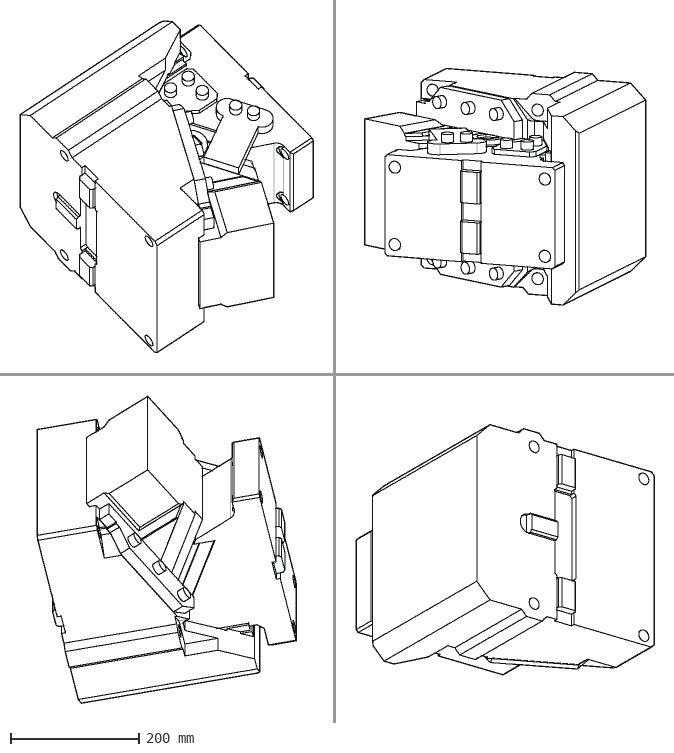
import cadquery as cq
import math

SLIDE_ANGLE = math.radians(25)
RAMP_ANGLE = math.radians(30)
RAMP_SLOPE = math.tan(RAMP_ANGLE)

BASE_LENGTH = 340.5
BASE_HEIGHT = 285.5
BASE_HALF_Z = 150.0
BASE_FRONT_CHAMFER = 25.5
BASE_REAR_CHAMFER = 5.5
BASE_TOP_CHAMFER = 4.8

RIB_RISE = 10.0
RIB_HEIGHT = 180.0
RIB_FOOT_WIDTH = 49.0
RIB_TOP_WIDTH = 30.0
UPPER_RIB_X = 105.0
LOWER_RIB_X = 110.5

MOUNT_HOLE_DIAMETER = 19.0
MOUNT_HOLE_X = (110.0, 320.0)
MOUNT_HOLE_Z = 134.3

VALLEY_TOP_X = 45.0
VALLEY_FLOOR_Y = 185.5
VALLEY_FLOOR_LEFT = 97.7
VALLEY_FLOOR_RIGHT = 113.2
WAY_START_X = 120.5
WALL_X = 66.0
WALL_STEP_X = 55.5
WALL_TOP_Y = 280.5
WALL_STEP_TOP_Y = 283.5
WALL_STRIP_HALF_Z = 85.5

WAY_X = 157.7
WAY_Y = 179.5
WAY_DEPTH = 10.0
CHANNEL_HALF_Z = 90.0

KEEPER_THICKNESS = 18.0
KEEPER_FRONT_CHAMFER = 29.8
KEEPER_REAR_CHAMFER_U = 138.2
KEEPER_REAR_CHAMFER = 26.5
KEEPER_STEP_U = 173.2
KEEPER_END_U = 192.5
KEEPER_HALF_Z = 149.0
KEEPER_BOLT_U = (4.5, 68.7, 133.5)
KEEPER_BOLT_Z = 127.0
BOLT_DIAMETER = 19.0
KEEPER_BOLT_HEIGHT = 12.0

POCKET_LEFT_X = 72.5
POCKET_RIGHT_X = 149.0
POCKET_DEPTH = 32.5
POCKET_FILLET = 12.7
NOTCH_X = 280.5
NOTCH_Y = 95.0
NOTCH_CHAMFER = 26.2
NOTCH_STEP_X = 318.0
REAR_STEP = 4.0

KEY_WIDTH = 32.5
KEY_LENGTH = 50.0
KEY_RISE = 8.0
KEY_CHAMFER = 3.5
KEYWAY_DEPTH = 6.5
BASE_KEYWAY_X = 170.0
BASE_KEY_Z = 105.3
RELIEF_WIDTH = 40.5
RELIEF_LENGTH = 149.5
RELIEF_DEPTH = 11.0
RELIEF_CHAMFER = 4.0
DRIVER_KEY_X = 155.5
DRIVER_KEY_Z = 40.0

DRIVER_TOP_Y = 346.0
DRIVER_HALF_Z = 80.5
FLANGE_LEFT_X = 15.0
FLANGE_RIGHT_X = 300.7
FLANGE_BOTTOM_Y = 302.0
FLANGE_CHAMFER = 4.0
FLANGE_HOLE_INSET = 16.5
FLANGE_HOLE_Z = 61.5
SPOTFACE_DIAMETER = 28.5
SPOTFACE_CLEARANCE = 16.0
STEM_LEFT_X = 60.0
STEM_CHAMFER = 9.0
STEM_RIGHT_TOP_X = 271.7
STEM_RIGHT_SLOPE = 2.1
STEM_FILLET = 14.3
STEM_TIP_X = 123.0
PAD_START_X = 155.0
STEP_END_X = 230.5

DRIVER_STEP_Y = 127.5
PAD_STEP_Y = 105.0
RAMP_Y = 94.0
SLIDE_STEP_Y = 76.0
SLIDE_SIDE_Y = 47.5

PAD_HALF_Z = 71.5
DRIVER_STEP_HALF_Z = 75.5
SLIDE_STEP_HALF_Z = 79.5
SLIDE_SIDE_HALF_Z = 86.0

HOOK_X = 203.0
HOOK_Y = 287.0
HOOK_WIDTH = 58.5
HOOK_END_RADIUS = 17.0
HOOK_REACH = 101.5
HOOK_THICKNESS = 17.0
HOOK_BOLT_SPACING = 29.8
HOOK_BOLT_HEIGHT = 13.0

RETAINER_LEFT_X = 75.5
RETAINER_RIGHT_X = 149.8
RETAINER_TOP_Y = 281.3
RETAINER_SHOULDER_LEFT_Y = 228.0
RETAINER_SHOULDER_RIGHT_Y = 239.0
RETAINER_CORNER = 7.5
RETAINER_THICKNESS = 8.0
RETAINER_BOLT_HEIGHT = 13.0
RETAINER_BOLTS = ((95.5, 260.5), (130.3, 260.5), (95.5, 225.2))

OVERALL_X = 397.2
SLIDE_TOP_V = 109.2
COLLAR_U = 104.0
HEAD_U = 123.0
HEAD_BOTTOM_V = 24.2
HEAD_HALF_Z = 100.5
HEAD_CHAMFER = 10.0
DISC_X = 191.0
DISC_Y = 187.5
DISC_RADIUS = 27.0
DISC_HEIGHT = 8.0
HEX_ACROSS_CORNERS = 36.0
HEX_DEPTH = 4.0

FAR = 596.0

WAY_U = (math.cos(SLIDE_ANGLE), -math.sin(SLIDE_ANGLE), 0)
WAY_V = (math.sin(SLIDE_ANGLE), math.cos(SLIDE_ANGLE), 0)
WAY_PROFILE = cq.Plane(origin=(WAY_X, WAY_Y, 0), xDir=WAY_U, normal=(0, 0, 1))
WAY_SURFACE = cq.Plane(origin=(WAY_X, WAY_Y, 0), xDir=WAY_U, normal=WAY_V)
SLIDE_END_U = (OVERALL_X - WAY_X - SLIDE_TOP_V * WAY_V[0]) / WAY_U[0]


def prism(points, half_z, plane="XY"):
    """Polygon extruded equally to both sides along Z."""
    return cq.Workplane(plane).polyline(points).close().extrude(half_z, both=True)


def block(x0, x1, y0, y1, z0, z1):
    """Box given by its limits."""
    return cq.Workplane("XY").box(x1 - x0, y1 - y0, z1 - z0, centered=False).translate((x0, y0, z0))


def holes_along_y(columns, row_z, diameter, start_y=0.0, length=FAR):
    """Round cutters along +Y, two in each X column."""
    places = [(x, z) for x in columns for z in (-row_z, row_z)]
    start = cq.Workplane("XZ", origin=(0, start_y, 0)).pushPoints(places)
    return start.circle(diameter / 2).extrude(-length)


def way_point(u, v):
    """X and Y of a point in the slideway frame."""
    return WAY_X + u * WAY_U[0] + v * WAY_V[0], WAY_Y + u * WAY_U[1] + v * WAY_V[1]


def way_y(x, v=0.0):
    """Height at X of the line parallel to the slideway at distance v."""
    return WAY_Y + v / math.cos(SLIDE_ANGLE) - (x - WAY_X) * math.tan(SLIDE_ANGLE)


def ramp_y(x, height):
    """Height at X of a line parallel to the ramp."""
    return height + x * RAMP_SLOPE


def ramp_side(height, half_z, towards):
    """Half space above (towards=FAR) or below (towards=-FAR) a line parallel to the ramp."""
    points = [
        (-FAR, ramp_y(-FAR, height)),
        (FAR, ramp_y(FAR, height)),
        (FAR, ramp_y(FAR, height) + towards),
        (-FAR, ramp_y(-FAR, height) + towards),
    ]
    return prism(points, half_z)


def rib(centre_x, side):
    """Trapezoidal rib on the upper (side=1) or lower (side=-1) face."""
    foot_z = side * BASE_HALF_Z
    top_z = side * (BASE_HALF_Z + RIB_RISE)
    points = [
        (centre_x - RIB_FOOT_WIDTH / 2, 0),
        (centre_x - RIB_FOOT_WIDTH / 2, foot_z),
        (centre_x - RIB_TOP_WIDTH / 2, top_z),
        (centre_x + RIB_TOP_WIDTH / 2, top_z),
        (centre_x + RIB_FOOT_WIDTH / 2, foot_z),
        (centre_x + RIB_FOOT_WIDTH / 2, 0),
    ]
    return cq.Workplane("XZ").polyline(points).close().extrude(-RIB_HEIGHT)


def base_block():
    """Block with chamfered long edges and ribs, before the slideway is cut."""
    body = block(0, BASE_LENGTH, 0, BASE_HEIGHT, -BASE_HALF_Z, BASE_HALF_Z)
    body = body.edges("|Y and <X").chamfer(BASE_FRONT_CHAMFER)
    body = body.edges("|Y and >X").chamfer(BASE_REAR_CHAMFER)
    body = body.faces("<X").edges(">Y").chamfer(BASE_TOP_CHAMFER)
    return body.union(rib(UPPER_RIB_X, 1)).union(rib(LOWER_RIB_X, -1))


def cut_valley(body):
    """Sloped valley, tilted top, and the deeper channel with its upright guide wall."""
    valley = [
        (VALLEY_TOP_X, BASE_HEIGHT),
        (VALLEY_FLOOR_LEFT, VALLEY_FLOOR_Y),
        (VALLEY_FLOOR_RIGHT, VALLEY_FLOOR_Y),
        (WAY_START_X, way_y(WAY_START_X)),
        (FAR, way_y(FAR)),
        (FAR, FAR),
        (VALLEY_TOP_X, FAR),
    ]
    wall = [
        (VALLEY_TOP_X, VALLEY_FLOOR_Y),
        (WALL_STEP_X, VALLEY_FLOOR_Y),
        (WALL_STEP_X, WALL_STEP_TOP_Y),
        (VALLEY_TOP_X, WALL_STEP_TOP_Y),
    ]
    strip = block(
        WALL_STEP_X, WALL_X, VALLEY_FLOOR_Y, WALL_TOP_Y, -WALL_STRIP_HALF_Z, WALL_STRIP_HALF_Z
    )
    floor_end_x = WAY_X + (way_y(WAY_X, -WAY_DEPTH) - VALLEY_FLOOR_Y) / math.tan(SLIDE_ANGLE)
    channel = [
        (WALL_X, VALLEY_FLOOR_Y),
        (floor_end_x, VALLEY_FLOOR_Y),
        (FAR, way_y(FAR, -WAY_DEPTH)),
        (FAR, FAR),
        (WALL_X, FAR),
    ]
    body = body.cut(prism(valley, FAR)).union(prism(wall, CHANNEL_HALF_Z)).union(strip)
    return body.cut(prism(channel, CHANNEL_HALF_Z))


def side_pockets():
    """Clearances in the upper face: a pocket at the valley and a notch at the rear."""
    floor_z = BASE_HALF_Z - POCKET_DEPTH
    pocket_points = [
        (POCKET_LEFT_X, floor_z),
        (POCKET_RIGHT_X - POCKET_DEPTH, floor_z),
        (POCKET_RIGHT_X, BASE_HALF_Z),
        (POCKET_RIGHT_X, FAR),
        (POCKET_LEFT_X, FAR),
    ]
    pocket = cq.Workplane("XZ", origin=(0, RIB_HEIGHT, 0)).polyline(pocket_points).close().extrude(-FAR)
    foot = (POCKET_RIGHT_X - POCKET_DEPTH, RIB_HEIGHT + FAR / 2, floor_z)
    foot_edge = cq.selectors.NearestToPointSelector(foot)
    pocket = pocket.edges("|Y").edges(foot_edge).fillet(POCKET_FILLET)
    ledge_z = BASE_HALF_Z - NOTCH_CHAMFER
    notch_points = [
        (NOTCH_X, BASE_HALF_Z),
        (NOTCH_X + NOTCH_CHAMFER, ledge_z),
        (NOTCH_STEP_X, ledge_z),
        (NOTCH_STEP_X, ledge_z - REAR_STEP),
        (FAR, ledge_z - REAR_STEP),
        (FAR, FAR),
        (NOTCH_X, FAR),
    ]
    notch = cq.Workplane("XZ", origin=(0, NOTCH_Y, 0)).polyline(notch_points).close().extrude(-FAR)
    return pocket.union(notch)


def keeper():
    """Plate along the +Z side of the slideway with its bolt heads."""
    ledge_z = KEEPER_HALF_Z - KEEPER_REAR_CHAMFER
    outline = [
        (-KEEPER_FRONT_CHAMFER, CHANNEL_HALF_Z),
        (-KEEPER_FRONT_CHAMFER, KEEPER_HALF_Z - KEEPER_FRONT_CHAMFER),
        (0, KEEPER_HALF_Z),
        (KEEPER_REAR_CHAMFER_U, KEEPER_HALF_Z),
        (KEEPER_REAR_CHAMFER_U + KEEPER_REAR_CHAMFER, ledge_z),
        (KEEPER_STEP_U, ledge_z),
        (KEEPER_STEP_U, ledge_z - REAR_STEP),
        (KEEPER_END_U, ledge_z - REAR_STEP),
        (KEEPER_END_U, CHANNEL_HALF_Z),
    ]
    plan = [(u, -z) for u, z in outline]
    plate = cq.Workplane(WAY_SURFACE).polyline(plan).close().extrude(KEEPER_THICKNESS)
    heads = cq.Workplane(WAY_SURFACE).pushPoints([(u, -KEEPER_BOLT_Z) for u in KEEPER_BOLT_U])
    heads = heads.circle(BOLT_DIAMETER / 2).extrude(KEEPER_THICKNESS + KEEPER_BOLT_HEIGHT)
    return plate.union(heads)


def key(outer_y, inner_y):
    """Key along Z, centred on X and Z, with its two outer edges chamfered."""
    low = min(outer_y, inner_y)
    high = max(outer_y, inner_y)
    blank = block(-KEY_WIDTH / 2, KEY_WIDTH / 2, low, high, -KEY_LENGTH / 2, KEY_LENGTH / 2)
    outer_face = "<Y" if outer_y < inner_y else ">Y"
    return blank.faces(outer_face).edges("|Z").chamfer(KEY_CHAMFER)


def cut_base_keyways(body):
    """Cross keyway, its central relief, and the round-ended keyway towards -X."""
    left_x = BASE_KEYWAY_X - KEY_WIDTH / 2
    body = body.cut(block(left_x, left_x + KEY_WIDTH, 0, KEYWAY_DEPTH, -FAR, FAR))
    relief = cq.Workplane("XY").box(RELIEF_WIDTH, 2 * RELIEF_DEPTH, RELIEF_LENGTH)
    relief = relief.edges("|Y").chamfer(RELIEF_CHAMFER).translate((BASE_KEYWAY_X, 0, 0))
    relief_x = BASE_KEYWAY_X - RELIEF_WIDTH / 2
    end_x = relief_x - KEY_LENGTH
    slot = block(end_x, relief_x, 0, KEYWAY_DEPTH, -KEY_WIDTH / 2, KEY_WIDTH / 2)
    round_end = cq.Workplane("XZ").center(end_x, 0).circle(KEY_WIDTH / 2).extrude(-KEYWAY_DEPTH)
    return body.cut(relief).cut(slot).cut(round_end)


def base_keys():
    """Two keys along Z and one along X, standing proud of the -Y face."""
    blank = key(-KEY_RISE, KEYWAY_DEPTH)
    middle_x = BASE_KEYWAY_X - RELIEF_WIDTH / 2 - KEY_LENGTH / 2
    keys = blank.rotate((0, 0, 0), (0, 1, 0), 90).translate((middle_x, 0, 0))
    for z in (-BASE_KEY_Z, BASE_KEY_Z):
        keys = keys.union(blank.translate((BASE_KEYWAY_X, 0, z)))
    return keys


def make_base():
    body = cut_valley(base_block())
    pockets = side_pockets()
    body = body.cut(pockets).cut(pockets.mirror("XY"))
    upper_keeper = keeper()
    body = body.union(upper_keeper).union(upper_keeper.mirror("XY"))
    body = cut_base_keyways(body).union(base_keys())
    return body.cut(holes_along_y(MOUNT_HOLE_X, MOUNT_HOLE_Z, MOUNT_HOLE_DIAMETER))


def driver_flange():
    flange = block(
        FLANGE_LEFT_X, FLANGE_RIGHT_X, FLANGE_BOTTOM_Y, DRIVER_TOP_Y, -DRIVER_HALF_Z, DRIVER_HALF_Z
    )
    return flange.edges("|Y or (|Z and <Y)").chamfer(FLANGE_CHAMFER)


def driver_stem():
    """Stem below the flange, stepped in width towards the ramp."""
    drop = FLANGE_BOTTOM_Y - RAMP_Y - RAMP_SLOPE * STEM_RIGHT_TOP_X
    foot_x = STEM_RIGHT_TOP_X - drop / (STEM_RIGHT_SLOPE - RAMP_SLOPE)
    outline = [
        (STEM_LEFT_X - STEM_CHAMFER, FLANGE_BOTTOM_Y),
        (STEM_LEFT_X, FLANGE_BOTTOM_Y - STEM_CHAMFER),
        (STEM_LEFT_X, WALL_TOP_Y),
        (WALL_X, WALL_TOP_Y),
        (WALL_X, VALLEY_FLOOR_Y),
        (VALLEY_FLOOR_RIGHT, VALLEY_FLOOR_Y),
        (STEM_TIP_X, ramp_y(STEM_TIP_X, DRIVER_STEP_Y)),
        (PAD_START_X, ramp_y(PAD_START_X, RAMP_Y)),
        (foot_x, ramp_y(foot_x, RAMP_Y)),
        (STEM_RIGHT_TOP_X, FLANGE_BOTTOM_Y),
        (STEM_RIGHT_TOP_X, DRIVER_TOP_Y - FLANGE_CHAMFER),
        (STEM_LEFT_X - STEM_CHAMFER, DRIVER_TOP_Y - FLANGE_CHAMFER),
    ]
    stem = prism(outline, DRIVER_HALF_Z)
    full_width = ramp_side(DRIVER_STEP_Y, DRIVER_HALF_Z, FAR)
    full_width = full_width.union(block(STEP_END_X, FAR, 0, FAR, -DRIVER_HALF_Z, DRIVER_HALF_Z))
    stepped = ramp_side(PAD_STEP_Y, DRIVER_STEP_HALF_Z, FAR)
    pad = ramp_side(RAMP_Y, PAD_HALF_Z, FAR)
    return stem.intersect(full_width.union(stepped).union(pad))


def hook():
    """Bracket bolted on the driver and reaching over the slide."""
    half = HOOK_WIDTH / 2
    frame = cq.Plane(
        origin=(HOOK_X, HOOK_Y, DRIVER_HALF_Z),
        xDir=(math.cos(RAMP_ANGLE), math.sin(RAMP_ANGLE), 0),
        normal=(0, 0, 1),
    )
    head = cq.Workplane(frame).slot2D(HOOK_WIDTH + 2 * HOOK_END_RADIUS, 2 * HOOK_END_RADIUS)
    arm = cq.Workplane(frame).polyline([(-half, 0), (half, 0), (half, -HOOK_REACH), (-half, -HOOK_REACH)])
    heads = cq.Workplane(frame).pushPoints([(-HOOK_BOLT_SPACING / 2, 0), (HOOK_BOLT_SPACING / 2, 0)])
    heads = heads.circle(BOLT_DIAMETER / 2).extrude(HOOK_THICKNESS + HOOK_BOLT_HEIGHT)
    return head.extrude(HOOK_THICKNESS).union(arm.close().extrude(HOOK_THICKNESS)).union(heads)


def retainer():
    """Tapered plate with three bolt heads on the +Z face of the stem."""
    outline = [
        (RETAINER_LEFT_X, RETAINER_SHOULDER_LEFT_Y),
        (RETAINER_LEFT_X, RETAINER_TOP_Y),
        (RETAINER_RIGHT_X, RETAINER_TOP_Y),
        (RETAINER_RIGHT_X, RETAINER_SHOULDER_RIGHT_Y),
        (VALLEY_FLOOR_RIGHT, VALLEY_FLOOR_Y),
        (VALLEY_FLOOR_LEFT, VALLEY_FLOOR_Y),
    ]
    plate = cq.Workplane("XY").workplane(offset=DRIVER_HALF_Z).polyline(outline).close()
    plate = plate.extrude(RETAINER_THICKNESS)
    plate = plate.faces(">Y").edges("|Z").chamfer(RETAINER_CORNER)
    heads = cq.Workplane("XY").workplane(offset=DRIVER_HALF_Z).pushPoints(RETAINER_BOLTS)
    heads = heads.circle(BOLT_DIAMETER / 2).extrude(RETAINER_THICKNESS + RETAINER_BOLT_HEIGHT)
    return plate.union(heads)


def cut_flange_holes(body):
    """Four through holes in the flange, spot-faced from below into the stem fillet."""
    columns = (FLANGE_LEFT_X + FLANGE_HOLE_INSET, FLANGE_RIGHT_X - FLANGE_HOLE_INSET)
    spotface_y = FLANGE_BOTTOM_Y - SPOTFACE_CLEARANCE
    body = body.cut(holes_along_y(columns, FLANGE_HOLE_Z, MOUNT_HOLE_DIAMETER))
    return body.cut(
        holes_along_y(columns, FLANGE_HOLE_Z, SPOTFACE_DIAMETER, spotface_y, SPOTFACE_CLEARANCE)
    )


def make_driver():
    body = driver_flange().union(driver_stem())
    corner = cq.selectors.NearestToPointSelector((STEM_RIGHT_TOP_X, FLANGE_BOTTOM_Y, 0))
    body = body.edges("|Z").edges(corner).fillet(STEM_FILLET)
    left_x = DRIVER_KEY_X - KEY_WIDTH / 2
    keyway_y = DRIVER_TOP_Y - KEYWAY_DEPTH
    body = body.cut(block(left_x, left_x + KEY_WIDTH, keyway_y, FAR, -FAR, FAR))
    for z in (-DRIVER_KEY_Z, DRIVER_KEY_Z):
        body = body.union(key(DRIVER_TOP_Y + KEY_RISE, keyway_y).translate((DRIVER_KEY_X, 0, z)))
    return cut_flange_holes(body).union(hook()).union(retainer())


def slide_wedge():
    """Wedge between slideway and ramp, stepped wider away from the ramp."""
    strip = [
        (-FAR, -WAY_DEPTH),
        (SLIDE_END_U, -WAY_DEPTH),
        (SLIDE_END_U, SLIDE_TOP_V),
        (-FAR, SLIDE_TOP_V),
    ]
    layers = ramp_side(RAMP_Y, PAD_HALF_Z, -FAR)
    layers = layers.union(ramp_side(SLIDE_STEP_Y, SLIDE_STEP_HALF_Z, -FAR))
    layers = layers.union(ramp_side(SLIDE_SIDE_Y, SLIDE_SIDE_HALF_Z, -FAR))
    return prism(strip, FAR, WAY_PROFILE).intersect(layers)


def slide_collar():
    """Wider part of the slide, chamfered towards the wedge."""
    chamfer = CHANNEL_HALF_Z - SLIDE_SIDE_HALF_Z
    turn = SLIDE_ANGLE + RAMP_ANGLE
    offset = (ramp_y(WAY_X, SLIDE_SIDE_Y) - WAY_Y) * math.cos(RAMP_ANGLE)
    rise = math.tan(turn)
    left_v = offset / math.cos(turn) + COLLAR_U * rise
    top_u = COLLAR_U + (SLIDE_TOP_V - left_v) / rise
    outline = [
        (COLLAR_U, -WAY_DEPTH),
        (SLIDE_END_U, -WAY_DEPTH),
        (SLIDE_END_U, SLIDE_TOP_V),
        (top_u, SLIDE_TOP_V),
        (COLLAR_U, left_v),
    ]
    collar = prism(outline, CHANNEL_HALF_Z, WAY_PROFILE)
    for side in (-1, 1):
        for u, v in ((COLLAR_U, left_v / 2), ((COLLAR_U + top_u) / 2, (left_v + SLIDE_TOP_V) / 2)):
            place = (*way_point(u, v), side * CHANNEL_HALF_Z)
            collar = collar.edges(cq.selectors.NearestToPointSelector(place)).chamfer(chamfer)
    return collar


def slide_head():
    """Widest part of the slide, chamfered on its front and bottom edges."""
    outline = [
        (HEAD_U, HEAD_BOTTOM_V),
        (SLIDE_END_U, HEAD_BOTTOM_V),
        (SLIDE_END_U, SLIDE_TOP_V),
        (HEAD_U, SLIDE_TOP_V),
    ]
    head = prism(outline, HEAD_HALF_Z, WAY_PROFILE)
    front = way_point(HEAD_U, (HEAD_BOTTOM_V + SLIDE_TOP_V) / 2)
    bottom = way_point((HEAD_U + SLIDE_END_U) / 2, HEAD_BOTTOM_V)
    edges = cq.Workplane("XY")
    for x, y in (front, bottom):
        for z in (-HEAD_HALF_Z, HEAD_HALF_Z):
            edges = edges.add(head.edges(cq.selectors.NearestToPointSelector((x, y, z))))
    return cq.Workplane(head.val().chamfer(HEAD_CHAMFER, None, edges.vals()))


def slide_disc():
    """Round screw head with a hexagon socket."""
    disc = cq.Workplane("XY", origin=(DISC_X, DISC_Y, SLIDE_STEP_HALF_Z))
    disc = disc.circle(DISC_RADIUS).extrude(DISC_HEIGHT)
    return disc.faces(">Z").workplane().polygon(6, HEX_ACROSS_CORNERS).cutBlind(-HEX_DEPTH)


def make_slide():
    return slide_wedge().union(slide_collar()).union(slide_head()).union(slide_disc())


base = make_base()
driver = make_driver()
slide = make_slide()
result = cq.Compound.makeCompound([body.solids().val() for body in (base, driver, slide)])